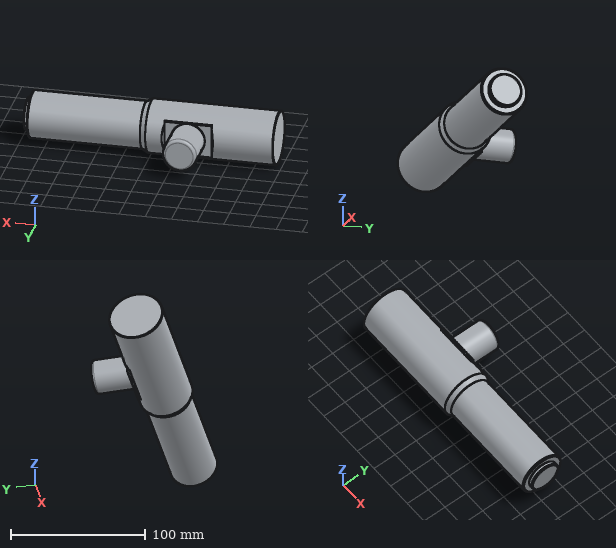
import cadquery as cq

total_length = 192.3
body_diameter = 41.0
body_radius = body_diameter / 2
barrel_radius = 18.0
tip_radius = 12.5
body_end = 97.5
taper_length = 4.6
tip_length = 3.7
body_chamfer = 0.4
barrel_chamfer = 0.8
tip_chamfer = 0.5

port_x = 65.4
port_radius = 12.9
overall_depth = 67.7
port_end = overall_depth - body_radius
port_fillet = 2.3

pad_length = 36.2
pad_height = 2 * port_radius
pad_face = 17.9
notch_slope = 1.5


def turned_body():
    """Stepped round body with a short taper and a small end spigot."""
    shoulder = total_length - tip_length
    profile = [
        (0, 0),
        (0, body_radius - body_chamfer),
        (body_chamfer, body_radius),
        (body_end, body_radius),
        (body_end + taper_length, barrel_radius),
        (shoulder - barrel_chamfer, barrel_radius),
        (shoulder, barrel_radius - barrel_chamfer),
        (shoulder, tip_radius),
        (total_length - tip_chamfer, tip_radius),
        (total_length, tip_radius - tip_chamfer),
        (total_length, 0),
    ]
    return cq.Workplane("XY").polyline(profile).close().revolve(360, (0, 0), (1, 0))


def notch():
    """Trapezoidal cutter that flattens the body on its +Y side."""
    half_floor = pad_length / 2
    half_mouth = half_floor + notch_slope
    outline = [
        (port_x - half_floor, pad_face),
        (port_x - half_mouth, body_radius),
        (port_x + half_mouth, body_radius),
        (port_x + half_floor, pad_face),
    ]
    return cq.Workplane("XY").polyline(outline).close().extrude(body_radius, both=True)


def pad():
    """Block from the body axis out to the pad face."""
    return cq.Workplane("XY").box(pad_length, pad_face, pad_height).translate((port_x, pad_face / 2, 0))


def port():
    """Round stub from the body axis outward, rounded at its free end."""
    stub = cq.Workplane("XZ").center(port_x, 0).circle(port_radius).extrude(-port_end)
    return stub.faces(">Y").edges().fillet(port_fillet)


result = turned_body().cut(notch()).union(pad()).union(port())